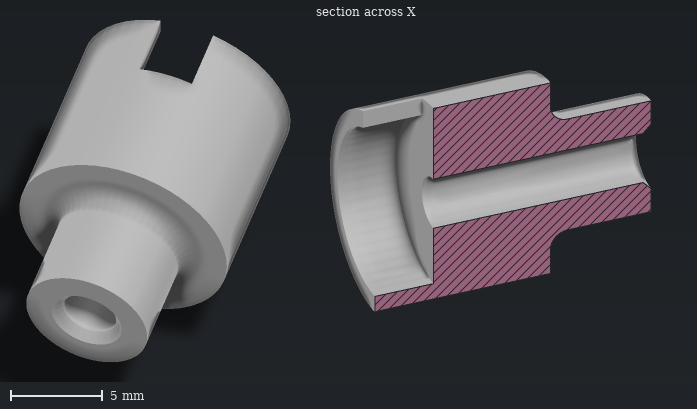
import cadquery as cq

total_length = 16.5
body_diameter = 12.0
neck_diameter = 7.0
neck_length = 6.0
neck_fillet = 1.0

bore_diameter = 3.05
mouth_diameter = 4.06
mouth_chamfer = (mouth_diameter - bore_diameter) / 2

socket_diameter = 10.0
socket_depth = 3.5

slot_width = bore_diameter
slot_length = socket_depth

body_length = total_length - neck_length
body_radius = body_diameter / 2


def cylinder(diameter, start, length):
    """Cylinder on the Y axis, running from start towards +Y."""
    base = cq.Workplane("XZ", origin=(0, start, 0))
    return base.circle(diameter / 2).extrude(-length)


body = cylinder(body_diameter, neck_length, body_length)
neck = cylinder(neck_diameter, 0, neck_length)
part = body.union(neck)
shoulder_edge = cq.selectors.RadiusNthSelector(0)
part = part.faces("<Y[1]").edges(shoulder_edge).fillet(neck_fillet)

part = part.cut(cylinder(bore_diameter, 0, total_length))
mouth_edge = cq.selectors.RadiusNthSelector(0)
part = part.faces("<Y").edges(mouth_edge).chamfer(mouth_chamfer)

part = part.cut(cylinder(socket_diameter, total_length - socket_depth, socket_depth))

slot = cq.Workplane("XY").box(
    slot_width, slot_length, body_radius, centered=(True, False, False)
)
result = part.cut(slot.translate((0, total_length - slot_length, 0)))